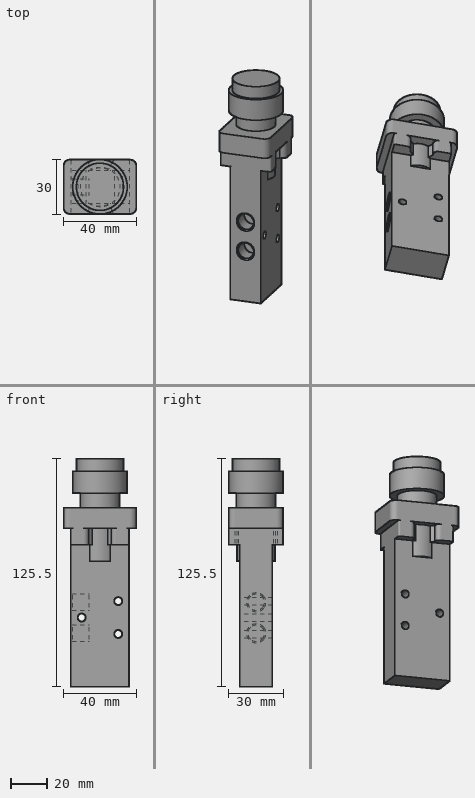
import cadquery as cq
import math

total_height = 125.5

body_width = 32.1
body_depth = 18.0
body_top = 69.2
end_cap_height = 7.2

shoulder_top = 78.0
collar_diameter = 21.1

block_top = 87.2
block_corner_radius = 1.0
recess_half_width = 6.3
recess_edge_radius = 2.6
recess_floor_half_width = 4.3

plate_width = 40.0
plate_depth = 30.0
plate_top = 98.5
plate_corner_radius = 3.5

neck_diameter = 21.7
ring_diameter = plate_depth
ring_bottom = 106.5
ring_top = 118.6
button_diameter = 26.0

mount_hole_diameter = 4.3
mount_hole_offset = 10.0
mount_hole_middle = 38.2
mount_hole_half_pitch = 9.0

port_diameter = 9.0
port_mouth_diameter = 10.5
port_depth = 10.0
port_middle = 38.2
port_half_pitch = 8.5


def slab(width, depth, bottom, top):
    """Rectangular block centred on the Z axis."""
    return cq.Workplane("XY").workplane(offset=bottom).rect(width, depth).extrude(top - bottom)


def disc(diameter, bottom, top):
    """Cylinder centred on the Z axis."""
    return cq.Workplane("XY").workplane(offset=bottom).circle(diameter / 2).extrude(top - bottom)


def front_recess():
    """Recess in the front of the block: rounded mouth, straight sides, 45 degree inner walls."""
    front = -plate_depth / 2
    collar_radius = collar_diameter / 2
    floor_y = -math.sqrt(collar_radius**2 - recess_floor_half_width**2)
    wall_y = floor_y - (recess_half_width - recess_floor_half_width)
    mouth_half_width = recess_half_width + recess_edge_radius
    arc_start_y = front + recess_edge_radius
    arc_inset = recess_edge_radius * (1 - math.sqrt(0.5))
    arc_x = recess_half_width + arc_inset
    arc_y = front + arc_inset
    return (
        cq.Workplane("XY")
        .workplane(offset=shoulder_top)
        .moveTo(-mouth_half_width, front)
        .threePointArc((-arc_x, arc_y), (-recess_half_width, arc_start_y))
        .lineTo(-recess_half_width, wall_y)
        .lineTo(-recess_floor_half_width, floor_y)
        .lineTo(recess_floor_half_width, floor_y)
        .lineTo(recess_half_width, wall_y)
        .lineTo(recess_half_width, arc_start_y)
        .threePointArc((arc_x, arc_y), (mouth_half_width, front))
        .close()
        .extrude(block_top - shoulder_top)
    )


def recessed_block():
    """Block under the plate with matching recesses in the front and back."""
    block = slab(body_width, plate_depth, shoulder_top, block_top)
    block = block.edges("|Z").fillet(block_corner_radius)
    recess = front_recess()
    return block.cut(recess).cut(recess.mirror("XZ"))


def mount_hole(x, z):
    """Hole along Y through the whole body."""
    return (
        cq.Workplane("XZ")
        .center(x, z)
        .circle(mount_hole_diameter / 2)
        .extrude(body_depth, both=True)
    )


def port(z):
    """Blind port with a 45 degree countersunk mouth, revolved about its own axis."""
    radius = port_diameter / 2
    mouth_radius = port_mouth_diameter / 2
    side = -body_width / 2
    return (
        cq.Workplane("XY")
        .workplane(offset=z)
        .moveTo(side, 0)
        .lineTo(side, mouth_radius)
        .lineTo(side + mouth_radius - radius, radius)
        .lineTo(side + port_depth, radius)
        .lineTo(side + port_depth, 0)
        .close()
        .revolve(360, (0, 0, 0), (1, 0, 0))
    )


end_cap = slab(body_width, body_depth, 0, end_cap_height)
body = slab(body_width, body_depth, end_cap_height, body_top)
shoulder = slab(body_width, body_depth, body_top, shoulder_top)
collar = disc(collar_diameter, body_top, block_top)

plate = slab(plate_width, plate_depth, block_top, plate_top)
plate = plate.edges("|Z").fillet(plate_corner_radius)
neck = disc(neck_diameter, plate_top, ring_bottom)
ring = disc(ring_diameter, ring_bottom, ring_top)
button = disc(button_diameter, ring_top, total_height)

result = end_cap
for section in (body, shoulder, recessed_block(), collar, plate, neck, ring, button):
    result = result.union(section)

result = result.cut(mount_hole(-mount_hole_offset, mount_hole_middle))
for direction in (-1, 1):
    hole_z = mount_hole_middle + direction * mount_hole_half_pitch
    result = result.cut(mount_hole(mount_hole_offset, hole_z))
    result = result.cut(port(port_middle + direction * port_half_pitch))